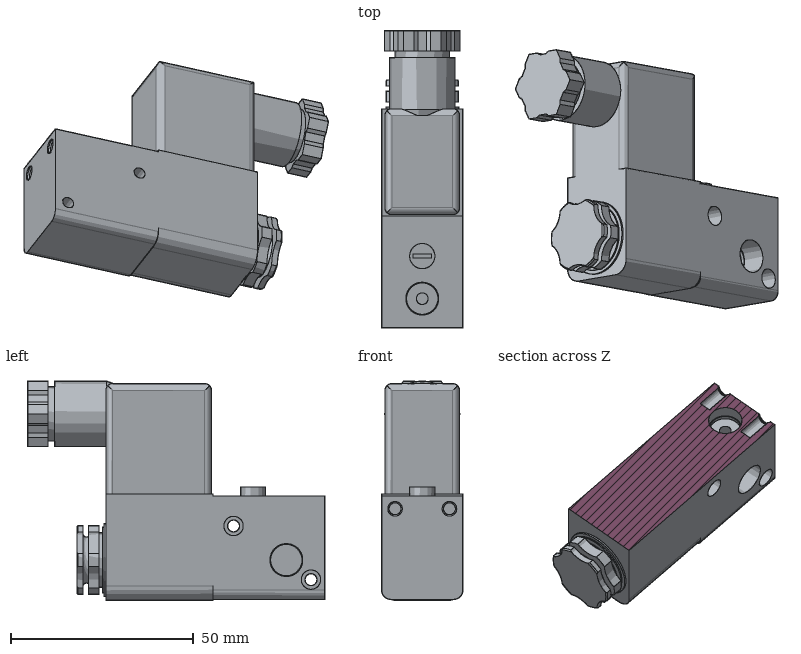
import cadquery as cq
import math


body_width = 22.3
front_length = 30.6
body_length = 60.0
front_bottom = 0.25
front_top = 28.65
rear_top = 29.2
front_corner_radius = 2.6
rear_corner_radius = 4.0

coil_width = 20.5
coil_front = 31.0
coil_top = 59.4
coil_edge_radius = 1.9

gland_diameter = 18.0
gland_axis_z = 51.1
gland_end = 74.0
gland_taper = 0.6
gland_taper_start = body_length - 0.2
gland_neck_diameter = 15.0
nut_start = 75.8
nut_end = 81.4
nut_flats = 18.0
nut_sides = 6
notch_mouth_half = 2.2
notch_floor_half = 1.15
notch_depth = 0.6

knob_axis_z = 11.07
knob_diameter = 20.0
knob_flange_end = body_length + 0.5
knob_shoulder_diameter = 18.0
knob_shoulder_end = body_length + 0.9
knob_neck_diameter = 15.0
inner_disc_start = body_length + 1.85
inner_disc_end = body_length + 4.8
outer_disc_start = body_length + 6.2
outer_disc_end = body_length + 7.9
knob_waist_inner_radius = 6.45
knob_waist_radius = 6.35
knob_waist_outer_radius = 7.0
knob_lobes = 6
lobe_half_angle = 10.0
scallop_floor_radius = 8.4
knob_chamfer = 0.35

button_diameter = 6.9
button_y = 19.65
button_top = 31.1
slot_length = 5.2
slot_width = 1.1
slot_depth = 1.0

port_diameter = 9.0
port_floor_diameter = 8.6
port_floor_step = 1.0
top_port_y = 8.0
top_port_depth = 8.0
pilot_diameter = 3.2
pilot_depth = 4.0
side_port_y = 10.55
side_port_z = knob_axis_z
side_port_depth = 8.0
mount_diameter = 3.2
mount_counterbore = 5.3
mount_counterbore_depth = 6.0
mount_centres = [(25.0, 20.4), (3.8, 5.7)]
screw_hole_diameter = 3.24
screw_hole_mouth = 4.0
screw_hole_depth = 8.0
screw_hole_spacing = 14.9
screw_hole_z = 25.1


def box(width, y_start, y_end, z_start, z_end):
    """Box centred on X between the given Y and Z limits."""
    block = cq.Workplane("XY").box(width, y_end - y_start, z_end - z_start, centered=(True, False, False))
    return block.translate((0, y_start, z_start))


def rod(diameter, y_start, y_end, z, x=0.0):
    """Cylinder along Y."""
    end_plane = cq.Workplane("XZ", origin=(x, y_start, z))
    return end_plane.circle(diameter / 2).extrude(y_start - y_end)


def rod_z(diameter, y, z_start, z_end):
    """Cylinder along Z on the X centre plane."""
    return cq.Workplane("XY", origin=(0, y, z_start)).circle(diameter / 2).extrude(z_end - z_start)


def rod_x(diameter, y, z, depth):
    """Cylinder along X, starting at the -X side of the body."""
    return cq.Workplane("YZ", origin=(-body_width / 2, y, z)).circle(diameter / 2).extrude(depth)


def polar(radius, degrees):
    angle = math.radians(degrees)
    return (radius * math.cos(angle), radius * math.sin(angle))


def make_body():
    front = box(body_width, 0, front_length, front_bottom, front_top)
    front = front.edges("|Y and <Z").fillet(front_corner_radius)
    rear = box(body_width, front_length, body_length, 0, rear_top)
    rear = rear.edges("|Y and <Z").fillet(rear_corner_radius)
    return front.union(rear)


def make_coil():
    """Three rounded prisms intersected, so the rounded edges meet in mitres at the top corners."""
    blank = box(coil_width, coil_front, body_length, rear_top, coil_top)
    plan = blank.edges("|Z").fillet(coil_edge_radius)
    front_profile = blank.edges("|Y and >Z").fillet(coil_edge_radius)
    side_profile = blank.edges("|X and >Z").fillet(coil_edge_radius)
    return plan.intersect(front_profile).intersect(side_profile)


def make_gland_nut():
    """Hexagonal nut with a tapered notch along the middle of each flat."""
    flat_radius = nut_flats / 2
    corner_radius = flat_radius / math.cos(math.pi / nut_sides)
    floor_radius = flat_radius - notch_depth
    points = []
    for side in range(nut_sides):
        middle = (side + 0.5) * 360 / nut_sides
        points.append(polar(corner_radius, side * 360 / nut_sides))
        for radius, offset in (
            (flat_radius, -notch_mouth_half),
            (floor_radius, -notch_floor_half),
            (floor_radius, notch_floor_half),
            (flat_radius, notch_mouth_half),
        ):
            angle = middle + math.degrees(math.atan2(offset, radius))
            points.append(polar(math.hypot(radius, offset), angle))
    end_plane = cq.Workplane("XZ", origin=(0, nut_start, gland_axis_z))
    return end_plane.polyline(points).close().extrude(nut_start - nut_end)


def make_gland():
    radius = gland_diameter / 2
    inner_end = body_length - coil_edge_radius
    barrel = (
        cq.Workplane("XY")
        .moveTo(0, inner_end)
        .lineTo(radius - gland_taper, inner_end)
        .lineTo(radius, gland_taper_start)
        .lineTo(radius, gland_end)
        .lineTo(0, gland_end)
        .close()
        .revolve(360, (0, 0, 0), (0, 1, 0))
        .translate((0, 0, gland_axis_z))
    )
    neck = rod(gland_neck_diameter, gland_end, nut_start, gland_axis_z)
    return barrel.union(neck).union(make_gland_nut())


def make_lobed_disc(y_start, y_end):
    """Round disc with concave scallops between its lobes."""
    pitch = 360 / knob_lobes
    radius = knob_diameter / 2
    end_plane = cq.Workplane("XZ", origin=(0, y_start, knob_axis_z))
    outline = end_plane.moveTo(*polar(radius, -lobe_half_angle))
    for lobe in range(knob_lobes):
        centre = lobe * pitch
        outline = outline.threePointArc(polar(radius, centre), polar(radius, centre + lobe_half_angle))
        outline = outline.threePointArc(
            polar(scallop_floor_radius, centre + pitch / 2),
            polar(radius, centre + pitch - lobe_half_angle),
        )
    return outline.close().extrude(y_start - y_end)


def make_knob():
    flange = rod(knob_diameter, body_length, knob_flange_end, knob_axis_z)
    shoulder = rod(knob_shoulder_diameter, knob_flange_end, knob_shoulder_end, knob_axis_z)
    neck = rod(knob_neck_diameter, knob_shoulder_end, inner_disc_start, knob_axis_z)
    waist_middle = (inner_disc_end + outer_disc_start) / 2
    waist = (
        cq.Workplane("XY")
        .moveTo(0, inner_disc_end)
        .lineTo(knob_waist_inner_radius, inner_disc_end)
        .threePointArc((knob_waist_radius, waist_middle), (knob_waist_outer_radius, outer_disc_start))
        .lineTo(0, outer_disc_start)
        .close()
        .revolve(360, (0, 0, 0), (0, 1, 0))
        .translate((0, 0, knob_axis_z))
    )
    rim = rod(knob_diameter, outer_disc_start, outer_disc_end, knob_axis_z)
    rim = rim.faces(">Y").chamfer(knob_chamfer)
    outer_disc = make_lobed_disc(outer_disc_start, outer_disc_end).intersect(rim)
    inner_disc = make_lobed_disc(inner_disc_start, inner_disc_end)
    return flange.union(shoulder).union(neck).union(inner_disc).union(waist).union(outer_disc)


def make_button():
    button = rod_z(button_diameter, button_y, front_top, button_top)
    slot = cq.Workplane("XY", origin=(0, button_y, button_top)).rect(slot_length, slot_width)
    return button.cut(slot.extrude(-slot_depth))


def make_ports():
    """Two blind ports, each slightly narrower next to its floor, with a pilot hole under the top one."""
    port_floor = front_top - top_port_depth
    ports = rod_z(port_diameter, top_port_y, port_floor + port_floor_step, front_top)
    ports = ports.union(rod_z(port_floor_diameter, top_port_y, port_floor, front_top))
    ports = ports.union(rod_z(pilot_diameter, top_port_y, port_floor - pilot_depth, front_top))
    ports = ports.union(rod_x(port_diameter, side_port_y, side_port_z, side_port_depth - port_floor_step))
    return ports.union(rod_x(port_floor_diameter, side_port_y, side_port_z, side_port_depth))


def make_mount_hole(y, z):
    through = rod_x(mount_diameter, y, z, body_width)
    return through.union(rod_x(mount_counterbore, y, z, mount_counterbore_depth))


def make_screw_hole(x):
    """Blind hole from the front face with a 45 degree countersunk mouth."""
    mouth_depth = (screw_hole_mouth - screw_hole_diameter) / 2
    hole = rod(screw_hole_diameter, 0, screw_hole_depth, screw_hole_z, x)
    mouth = rod(screw_hole_mouth, 0, 2 * mouth_depth, screw_hole_z, x)
    mouth = mouth.faces(">Y").chamfer(mouth_depth)
    return hole.union(mouth)


result = make_body().union(make_coil()).union(make_gland()).union(make_knob()).union(make_button())
result = result.cut(make_ports())
for mount_y, mount_z in mount_centres:
    result = result.cut(make_mount_hole(mount_y, mount_z))
for side_sign in (-1, 1):
    result = result.cut(make_screw_hole(side_sign * screw_hole_spacing / 2))